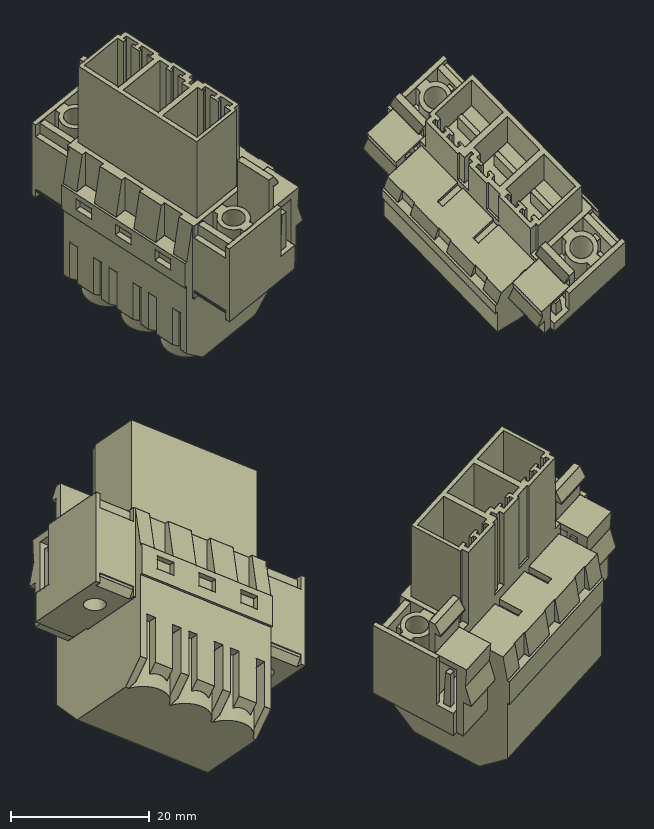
import cadquery as cq


pole_pitch = 7.6
pole_centres = [-pole_pitch, 0, pole_pitch]

block_half_width = 11.9
shoulder_z = 29.15
ledge_z = 27.2
front_y = -9.95
back_y = 9.95
band_bottom_z = 17.35
band_top_z = 22.4
band_projection = 0.35
shoulder_front_y = -8.75
ledge_back_y = 9.2
back_chamfer = 4.95
front_chamfer = 3.5

tower_top_z = 45
tower_half_width = 11.45
tower_front_y = -7.25
tower_back_y = 2.48
corner_notch_width = 0.45
corner_notch_depth = 1.1
cavity_front_y = -6.53
cavity_floor_z = shoulder_z

keyway_offset = 1.5
keyway_neck_width = 1.35
keyway_head_width = 2.25
keyway_head_front_y = 1.25
keyway_head_back_y = 1.85
tongue_y = 0.8
end_cavity_outer_x = 10.85
end_cavity_inner_x = 4.28
end_cavity_outer_back_y = 0.68
end_cavity_inner_back_y = 1.0
middle_cavity_half_width = 3.38
middle_cavity_bump_x = -1.7
middle_cavity_bump_y = 1.4
middle_cavity_step_x = 2.03
middle_cavity_step_y = 0.1

groove_inner_x = 3.2
groove_outer_x = 4.28
groove_back_y = 6.5
groove_depth = 1.35
recess_y = 2.15
recess_inner_x = 1.8
key_outer_x = 2.03
key_step_x = 2.75
key_step_y = 1.7
key_bottom_y = 0.8

front_pocket_width = 3.4
front_pocket_y = -8.0
back_pocket_width = 2.5
back_pocket_y = 9.05
window_width = 3.0
window_bottom_z = 19.17
window_top_z = 21.4
window_depth = 0.9
barrel_radius = 3.9
barrel_front_y = -8.9
barrel_y = barrel_front_y + barrel_radius
slot_inner_offset = 1.58
slot_outer_offset = 3.1
slot_top_z = 11.05

blade_width = 4.35
blade_thickness = 0.75
blade_y = -3.15
blade_tip_z = 36
blade_root_z = 24.3

flange_outer_x = 19.05
arm_outer_x = 18.27
arm_inner_x = 12.2
flange_bottom_z = 14.1
flange_floor_z = 19.0
flange_front_y = shoulder_front_y
flange_back_y = 5.45
rail_inner_y = -6.8
rail_outer_y = -7.85
rail_top_z = 28.85
rail_step_z = 26.8
foot_cut_top_z = 15.75
foot_slope_top_z = 15.3
foot_cut_depth = 0.15
foot_slope_depth = 0.8
screw_x = 15.25
screw_y = -3.55
screw_hole_diameter = 3.35
screw_tube_diameter = 4.8
screw_tube_top_z = 29.05
cross_rib_width = 2.0
front_rib_width = 1.05
front_rib_top_z = 27
front_rib_drop = 0.23

clip_front_y = 0.68
clip_back_y = 1.7
clip_barb_y = 2.7
clip_top_z = 35.6
clip_barb_z = 33.75
clip_barb_bottom_z = 33.5
latch_top_y = 7.25
latch_waist_y = 7.0
latch_waist_z = 25.3
latch_barb_y = 8.0
latch_barb_z = 21.85
latch_barb_bottom_z = 21.55
latch_lower_y = 6.65
bridge_bottom_z = 27.95
web_top_y = 3.65
web_bottom_y = 3.2
web_thickness = 0.9
post_back_y = 4.4
post_top_z = 26.2


def box(x_range, y_range, z_range):
    """Block between two X, two Y and two Z positions."""
    (x0, x1), (y0, y1), (z0, z1) = x_range, y_range, z_range
    return cq.Workplane("XY").box(x1 - x0, y1 - y0, z1 - z0, centered=False).translate((x0, y0, z0))


def side_profile(points, x0, x1):
    """Prism with a (Y, Z) outline between two X positions."""
    return cq.Workplane("YZ").workplane(offset=x0).polyline(points).close().extrude(x1 - x0)


def centred(middle, width):
    """Range of a given width about a middle value."""
    return (middle - width / 2, middle + width / 2)


def make_block():
    outline = [
        (back_y - back_chamfer, 0),
        (back_y, back_chamfer),
        (back_y, band_bottom_z),
        (back_y + band_projection, band_bottom_z),
        (back_y + band_projection, band_top_z),
        (back_y, band_top_z),
        (ledge_back_y, ledge_z),
        (tower_back_y, ledge_z),
        (tower_back_y, shoulder_z),
        (shoulder_front_y, shoulder_z),
        (front_y, band_top_z),
        (front_y - band_projection, band_top_z),
        (front_y - band_projection, band_bottom_z),
        (front_y, band_bottom_z),
        (front_y, front_chamfer),
        (front_y + front_chamfer, 0),
    ]
    return side_profile(outline, -block_half_width, block_half_width)


def make_tower():
    tower = box(
        (-tower_half_width, tower_half_width), (tower_front_y, tower_back_y), (shoulder_z, tower_top_z)
    )
    for side in (-1, 1):
        notch = box(
            centred(side * tower_half_width, 2 * corner_notch_width),
            (tower_back_y - corner_notch_depth, tower_back_y),
            (shoulder_z, tower_top_z),
        )
        tower = tower.cut(notch)
    return tower


def tower_cut(x_range, y_range):
    """Upright cut through the plug tower, from its rim down to the shoulder."""
    return box(x_range, y_range, (cavity_floor_z, tower_top_z))


def make_keyway(x):
    """T-shaped slot that opens into a cavity through a narrow neck."""
    head = tower_cut(centred(x, keyway_head_width), (keyway_head_front_y, keyway_head_back_y))
    neck = tower_cut(centred(x, keyway_neck_width), (cavity_front_y, keyway_head_back_y))
    return head.union(neck)


def make_end_cavity():
    """Cavity of the -X end pole, with two keyways."""
    outer_keyway_x = -pole_pitch - keyway_offset
    inner_keyway_x = -pole_pitch + keyway_offset
    cavity = tower_cut(
        (-end_cavity_outer_x, -end_cavity_inner_x), (cavity_front_y, end_cavity_outer_back_y)
    )
    cavity = cavity.union(tower_cut((outer_keyway_x, inner_keyway_x), (cavity_front_y, tongue_y)))
    cavity = cavity.union(
        tower_cut((inner_keyway_x, -end_cavity_inner_x), (cavity_front_y, end_cavity_inner_back_y))
    )
    return cavity.union(make_keyway(outer_keyway_x)).union(make_keyway(inner_keyway_x))


def make_middle_cavity():
    """Cavity of the middle pole, with one keyway and a stepped back wall."""
    steps = [
        (middle_cavity_half_width, middle_cavity_step_y),
        (middle_cavity_step_x, tongue_y),
        (middle_cavity_bump_x, middle_cavity_bump_y),
    ]
    cavity = make_keyway(0)
    for right_x, step_back_y in steps:
        cavity = cavity.union(tower_cut((-middle_cavity_half_width, right_x), (cavity_front_y, step_back_y)))
    return cavity


def make_coding_cuts():
    """Recesses in the back of the tower and the two grooves behind them in the ledge."""
    cuts = tower_cut((-groove_outer_x, -recess_inner_x), (recess_y, tower_back_y))
    cuts = cuts.union(tower_cut((groove_inner_x, groove_outer_x), (recess_y, tower_back_y)))
    cuts = cuts.union(tower_cut((key_outer_x, groove_inner_x), (key_step_y, tower_back_y)))
    cuts = cuts.union(tower_cut((key_step_x, groove_inner_x), (key_bottom_y, tower_back_y)))
    for x_range in ((-groove_outer_x, -groove_inner_x), (groove_inner_x, groove_outer_x)):
        groove = box(x_range, (tower_back_y, groove_back_y), (ledge_z - groove_depth, ledge_z))
        cuts = cuts.union(groove)
    return cuts


def make_grip_cuts(x):
    """Grip pockets on both faces and the test window of one pole."""
    front_face_y = front_y - band_projection
    front_pocket = box(
        centred(x, front_pocket_width), (front_face_y, front_pocket_y), (band_top_z, shoulder_z)
    )
    back_pocket = box(
        centred(x, back_pocket_width), (back_pocket_y, back_y + band_projection), (band_top_z, ledge_z)
    )
    window = box(
        centred(x, window_width),
        (front_face_y, front_face_y + window_depth),
        (window_bottom_z, window_top_z),
    )
    return front_pocket.union(back_pocket).union(window)


def make_barrel(x):
    """Upright clamp barrel of one pole."""
    return cq.Workplane("XY").center(x, barrel_y).circle(barrel_radius).extrude(slot_top_z)


def make_barrel_slots(x):
    """Two front slots that lay the flanks of one barrel bare."""
    slot_width = slot_outer_offset - slot_inner_offset
    slot_middle = (slot_outer_offset + slot_inner_offset) / 2
    slots = cq.Workplane("XY")
    for side in (-1, 1):
        slot = box(centred(x + side * slot_middle, slot_width), (front_y, barrel_y), (0, slot_top_z))
        slots = slots.add(slot)
    return slots.combine().cut(make_barrel(x))


def make_blade(x):
    """Flat contact that stands on the pole centre, rooted in the cavity floor."""
    return box(
        centred(x, blade_width), centred(blade_y, blade_thickness), (blade_root_z, blade_tip_z)
    )


def make_flange_shell():
    """Open-topped box of the -X flange with its stepped front rail and undercut foot."""
    arm = (-arm_outer_x, -arm_inner_x)
    outer_wall = (-flange_outer_x, -arm_outer_x)
    inner_wall = (-arm_inner_x, -block_half_width)
    full_height = (flange_bottom_z, shoulder_z)
    shell = box(outer_wall, (flange_front_y, tower_back_y), full_height)
    shell = shell.union(
        box(outer_wall, (tower_back_y, flange_back_y), (flange_bottom_z, flange_floor_z))
    )
    shell = shell.union(box(inner_wall, (flange_front_y, tower_back_y), full_height))
    shell = shell.union(box(arm, (flange_front_y, flange_back_y), (flange_bottom_z, flange_floor_z)))
    shell = shell.union(box(arm, (rail_outer_y, rail_inner_y), (flange_floor_z, rail_top_z)))
    shell = shell.union(box(arm, (flange_front_y, rail_outer_y), (flange_floor_z, rail_step_z)))
    foot_cut = [
        (flange_front_y, flange_bottom_z),
        (flange_front_y, foot_cut_top_z),
        (flange_front_y + foot_cut_depth, foot_cut_top_z),
        (flange_front_y + foot_cut_depth, foot_slope_top_z),
        (flange_front_y + foot_cut_depth + foot_slope_depth, flange_bottom_z),
    ]
    return shell.cut(side_profile(foot_cut, -arm_outer_x, -arm_inner_x))


def make_screw_seat():
    """Screw tube of the -X flange with its cross rib and sloping front rib."""
    tube = (
        cq.Workplane("XY", origin=(-screw_x, screw_y, flange_floor_z))
        .circle(screw_tube_diameter / 2)
        .extrude(screw_tube_top_z - flange_floor_z)
    )
    cross_rib = box(
        (-arm_outer_x, -arm_inner_x),
        centred(screw_y, cross_rib_width),
        (flange_floor_z, screw_tube_top_z),
    )
    front_rib_outline = [
        (screw_y, flange_floor_z),
        (screw_y, front_rib_top_z),
        (screw_y - screw_tube_diameter / 2, front_rib_top_z),
        (rail_inner_y, front_rib_top_z - front_rib_drop),
        (rail_inner_y, flange_floor_z),
    ]
    front_rib = side_profile(front_rib_outline, *centred(-screw_x, front_rib_width))
    return tube.union(cross_rib).union(front_rib)


def make_web(start_x):
    """Upright web with a sloping front, one web thickness wide along X."""
    outline = [
        (flange_back_y, flange_floor_z),
        (flange_back_y, bridge_bottom_z),
        (web_top_y, bridge_bottom_z),
        (web_bottom_y, flange_floor_z),
    ]
    return side_profile(outline, start_x, start_x + web_thickness)


def make_post():
    """Shorter and thinner web on the flange floor, beside the outer wall."""
    post_x = (-arm_outer_x, -arm_outer_x + web_thickness)
    envelope = box(post_x, (web_bottom_y, post_back_y), (flange_floor_z, post_top_z))
    return make_web(-arm_outer_x).intersect(envelope)


def make_flange():
    """Screw flange of the housing at the -X end, without its latch."""
    tongue = box(
        (-arm_inner_x, -block_half_width), (post_back_y, flange_back_y), (flange_floor_z, bridge_bottom_z)
    )
    flange = make_flange_shell().union(make_screw_seat()).union(make_post()).union(tongue)
    screw_hole = (
        cq.Workplane("XY", origin=(-screw_x, screw_y, flange_bottom_z))
        .circle(screw_hole_diameter / 2)
        .extrude(shoulder_z - flange_bottom_z)
    )
    return flange.cut(screw_hole)


def make_housing():
    body = make_block().union(make_tower())
    end_cavity = make_end_cavity()
    for cavity in (end_cavity, make_middle_cavity(), end_cavity.mirror("YZ")):
        body = body.cut(cavity)
    body = body.cut(make_coding_cuts())
    flange = make_flange()
    body = body.union(flange).union(flange.mirror("YZ"))
    for x in pole_centres:
        body = body.cut(make_grip_cuts(x))
        body = body.cut(make_barrel_slots(x))
        body = body.union(make_barrel(x))
        body = body.cut(make_blade(x))
    return body


def make_clip():
    """Barbed panel clip of the -X latch, standing on the flange floor."""
    outline = [
        (clip_front_y, flange_floor_z),
        (clip_front_y, clip_top_z),
        (clip_back_y, clip_top_z),
        (clip_barb_y, clip_barb_z),
        (clip_barb_y, clip_barb_bottom_z),
        (clip_back_y, clip_barb_bottom_z),
        (clip_back_y, flange_floor_z),
    ]
    return side_profile(outline, -arm_outer_x, -arm_inner_x)


def make_latch():
    """Latch at the -X end: barbed back wall bridged to the panel clip and stiffened by a web."""
    wall_outline = [
        (flange_back_y, flange_bottom_z),
        (flange_back_y, bridge_bottom_z),
        (clip_back_y, bridge_bottom_z),
        (clip_back_y, shoulder_z),
        (latch_top_y, shoulder_z),
        (latch_waist_y, latch_waist_z),
        (latch_barb_y, latch_barb_z),
        (latch_barb_y, latch_barb_bottom_z),
        (latch_lower_y, latch_barb_bottom_z),
        (latch_lower_y, flange_bottom_z),
    ]
    wall = side_profile(wall_outline, -arm_outer_x, -arm_inner_x)
    web = make_web(-arm_inner_x - web_thickness)
    return wall.union(web).union(make_clip())


housing = make_housing()

blades = []
for pole_x in pole_centres:
    blades.append(make_blade(pole_x).val())

latches = []
for end in (-1, 1):
    latch = make_latch()
    if end > 0:
        latch = latch.mirror("YZ")
    latches.append(latch.val())

result = cq.Compound.makeCompound([housing.val(), *blades, *latches])